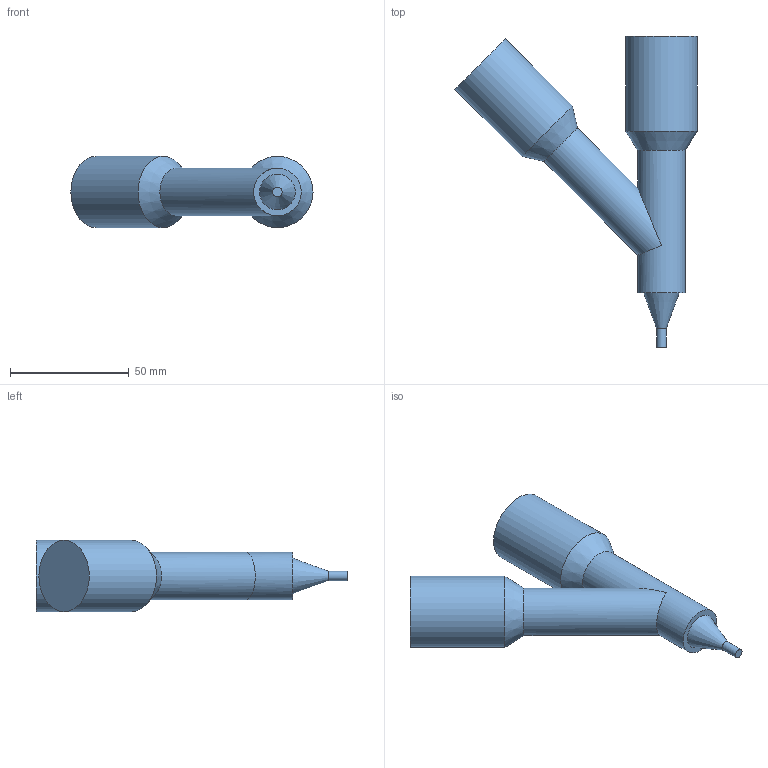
import cadquery as cq

handle_diameter = 30.0
handle_length = 40.0
taper_length = 8.0
tube_diameter = 20.0
tube_length = 60.0
arm_length = handle_length + taper_length + tube_length

nozzle_base_diameter = 15.0
nozzle_length = 15.0
pin_diameter = 4.0
pin_length = 8.0

branch_angle = 45.0
branch_start = 20.0


def make_arm():
    """Arm along +Y, with its tube end at the origin."""
    tube_radius = tube_diameter / 2
    handle_radius = handle_diameter / 2
    handle_start = tube_length + taper_length
    return (
        cq.Workplane("XY")
        .lineTo(tube_radius, 0)
        .lineTo(tube_radius, tube_length)
        .lineTo(handle_radius, handle_start)
        .lineTo(handle_radius, arm_length)
        .lineTo(0, arm_length)
        .close()
        .revolve(360, (0, 0, 0), (0, 1, 0))
    )


def make_nozzle():
    """Cone and pin along -Y, with the cone base at the origin."""
    base_radius = nozzle_base_diameter / 2
    pin_radius = pin_diameter / 2
    tip = nozzle_length + pin_length
    return (
        cq.Workplane("XY")
        .lineTo(base_radius, 0)
        .lineTo(pin_radius, -nozzle_length)
        .lineTo(pin_radius, -tip)
        .lineTo(0, -tip)
        .close()
        .revolve(360, (0, 0, 0), (0, 1, 0))
    )


straight_arm = make_arm()
side_arm = (
    make_arm()
    .rotate((0, 0, 0), (0, 0, 1), branch_angle)
    .translate((0, branch_start, 0))
)

result = straight_arm.union(side_arm).union(make_nozzle())